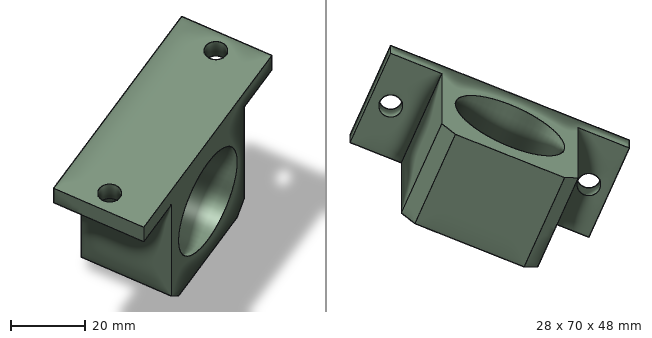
import cadquery as cq

width = 28.0
flange_length = 70.0
height = 48.0

flange_thickness = 6.0
block_length = 40.0
block_chamfer = 4.0

bore_diameter = 32.0
bore_depth_below_top = 25.0

hole_diameter = 6.4
hole_spacing = 58.0

flange = (
    cq.Workplane("XY")
    .workplane(offset=height - flange_thickness)
    .rect(width, flange_length)
    .extrude(flange_thickness)
    .faces(">Z")
    .workplane()
    .pushPoints([(0, -hole_spacing / 2), (0, hole_spacing / 2)])
    .hole(hole_diameter)
)

block = (
    cq.Workplane("XY")
    .rect(width, block_length)
    .extrude(height - flange_thickness)
    .edges("|X and <Z")
    .chamfer(block_chamfer)
)

bore = (
    cq.Workplane("YZ", origin=(-width / 2, 0, 0))
    .center(0, height - bore_depth_below_top)
    .circle(bore_diameter / 2)
    .extrude(width)
)

result = flange.union(block).cut(bore)